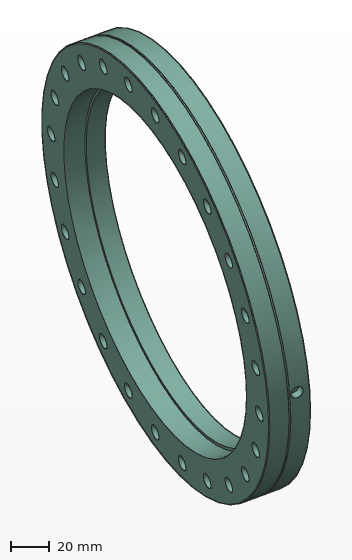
import cadquery as cq

outer_diameter = 254.0
thickness = 24.6
rim_chamfer = 0.5

bore_diameter = 200.4
socket_diameter = 203.7
socket_depth = thickness / 2
recess_diameter = 222.2
recess_depth = 1.2

rim_groove_width = 1.0
rim_groove_depth = 0.2

bolt_circle_diameter = 232.0
bolt_hole_diameter = 8.4
bolt_hole_count = 24

port_diameter = 7.0
port_depth = 5.0
port_y = 4.75
port_angle = 360 / bolt_hole_count / 2

front_y = -thickness / 2
back_y = thickness / 2


def disc(diameter, start_y, length):
    """Cylinder on the ring axis, running from start_y toward +Y."""
    plane = cq.Workplane("XZ", origin=(0, start_y, 0))
    return plane.circle(diameter / 2).extrude(-length)


def ring_blank():
    """Solid disc with chamfered rims."""
    return disc(outer_diameter, front_y, thickness).edges().chamfer(rim_chamfer)


def stepped_bore():
    """Volume removed through the middle of the ring."""
    bore = disc(bore_diameter, front_y, thickness)
    socket = disc(socket_diameter, front_y, socket_depth)
    recess = disc(recess_diameter, back_y - recess_depth, recess_depth)
    return bore.union(socket).union(recess)


def rim_groove():
    """Thin band removed from the rim at mid thickness."""
    start_y = -rim_groove_width / 2
    floor_diameter = outer_diameter - 2 * rim_groove_depth
    band = disc(outer_diameter, start_y, rim_groove_width)
    return band.cut(disc(floor_diameter, start_y, rim_groove_width))


def bolt_holes():
    """Through holes spaced evenly on the bolt circle."""
    centres = cq.Workplane("XZ", origin=(0, front_y, 0)).polarArray(
        bolt_circle_diameter / 2, 0, 360, bolt_hole_count
    )
    return centres.circle(bolt_hole_diameter / 2).extrude(-thickness)


def rim_port():
    """Radial port on the +X side, turned about Y by port_angle toward +Z."""
    outer_radius = outer_diameter / 2
    floor = cq.Workplane("YZ", origin=(outer_radius - port_depth, port_y, 0))
    port = floor.circle(port_diameter / 2).extrude(port_depth)
    return port.rotate((0, 0, 0), (0, 1, 0), -port_angle)


result = ring_blank()
for removed in (stepped_bore(), rim_groove(), bolt_holes(), rim_port()):
    result = result.cut(removed)